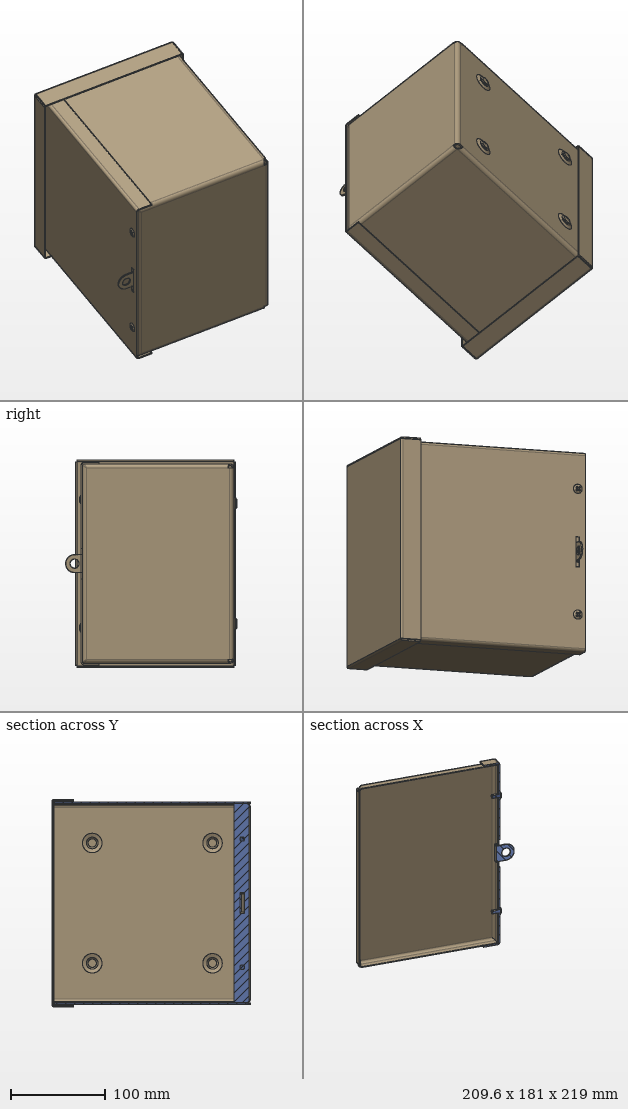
import cadquery as cq
import math


sheet = 1.5
cap_bend = 2.2
cover_bend = 3.0
box_bend = 4.4

overrun = 2.2

length = 209.6
cap_height = 219.0
total_depth = 181.0
cap_depth = 169.0
cap_corner_gap = 0.5
cap_flange = 22.5
cap_back = sheet
cap_front = cap_back - cap_depth

cover_front = -161.2
cover_flange = 18.6
cap_side_gap = 1.0
cover_height = cap_height - 2 * (sheet + cap_side_gap)

box_height = cover_height - 2 * sheet
box_front = cover_front + sheet
lip_back = box_front + sheet
lip_width = 17.5
relief_long = 8.3
relief_short = 6.1

dimple_height = 3.3
dimple_top_radius = 4.4
dimple_waist_radius = 6.1
dimple_waist_height = 1.5
dimple_base_radius = 10.3
dimple_pitch = 127.0
dimple_first_x = 42.5

screw_x = 200.9
screw_pitch = 135.4
head_diameter = 9.9
head_height = 2.0
shank_diameter = 4.2
shank_length = 8.8
recess_span = 5.7
recess_width = 1.3
recess_depth = 1.3

hasp_left = 199.0
hasp_diameter = 19.0
hasp_hole = 9.5
hasp_tip = dimple_height - total_depth
hasp_foot = 5.7
hasp_bend = 2.2
slot_width = 4.0
cover_slot_height = 32.2
lip_slot_height = 21.5


def block(x0, x1, y0, y1, height):
    """Block between two X and two Y positions, centred on Z = 0."""
    return cq.Workplane("XY").box(x1 - x0, y1 - y0, height).translate(((x0 + x1) / 2, (y0 + y1) / 2, 0))


def screw_points():
    """Screw centres as (x, z), below and above the hasp."""
    return [(screw_x, -screw_pitch / 2), (screw_x, screw_pitch / 2)]


def front_cylinders(points, diameter, y0, y1):
    """Cylinders along Y at (x, z) points."""
    return (
        cq.Workplane("XZ", origin=(0, y1, 0))
        .pushPoints(points)
        .circle(diameter / 2)
        .extrude(y1 - y0)
    )


def channel(outer, inner, bend, edges):
    """Bent sheet: an outer block with two rounded bends, hollowed by an inner block."""
    return outer.edges(edges).fillet(bend).cut(inner.edges(edges).fillet(bend - sheet))


def make_cap():
    """End cap of two crossing channels, which leaves the flange corners open."""
    reach = cap_flange + overrun
    upright = channel(
        block(0, cap_flange, cap_front, cap_back, cap_height - 2 * (sheet + cap_corner_gap)),
        block(sheet, reach, cap_front + sheet, cap_back - sheet, cap_height),
        cap_bend,
        "|Z and <X",
    )
    crosswise = channel(
        block(0, cap_flange, cap_front + sheet, cap_back - sheet, cap_height),
        block(sheet, reach, cap_front, cap_back, cap_height - 2 * sheet),
        cap_bend,
        "|Y and <X",
    )
    return upright.union(crosswise)


def make_cover():
    """Front cover with a flange along its top and bottom."""
    flange_end = cover_front + cover_flange
    cover = channel(
        block(cap_bend, length, cover_front, flange_end, cover_height),
        block(0, length + overrun, box_front, flange_end + overrun, box_height),
        cover_bend,
        "|X and <Y",
    )
    slot_right = hasp_left + slot_width
    slot = block(hasp_left, slot_right, cover_front - overrun, box_front + overrun, cover_slot_height)
    screw_holes = front_cylinders(screw_points(), shank_diameter, cover_front - overrun, box_front + overrun)
    return cover.cut(slot).cut(screw_holes)


def rounded_box(x0, x1, y0, y1, height, bend):
    """Block with its back, far end and lip bends rounded."""
    body = block(x0, x1, y0, y1, height)
    return body.edges("(|Z and >X) or (|X and >Y) or (|Y and >X)").fillet(bend)


def dimple_form(offset):
    """Dimple shape turned about the Y axis and moved along it by offset."""
    return (
        cq.Workplane("XY")
        .moveTo(0, -sheet)
        .lineTo(0, dimple_height)
        .lineTo(dimple_top_radius, dimple_height)
        .lineTo(dimple_waist_radius, dimple_waist_height)
        .lineTo(dimple_base_radius, 0)
        .lineTo(dimple_base_radius, -sheet)
        .close()
        .revolve(360, (0, 0, 0), (0, 1, 0))
        .translate((0, offset, 0))
    )


def corner_relief(side):
    """Column that opens the far back corner of the top (side 1) or bottom (side -1) wall."""
    outline = [
        (length, 0),
        (length - relief_long, 0),
        (length - box_bend, -box_bend),
        (length, -relief_short),
    ]
    start = side * (box_height / 2 - box_bend)
    return cq.Workplane("XY", origin=(0, 0, start)).polyline(outline).close().extrude(side * box_bend)


def make_box():
    """Box open at the cap end and the front, with a lip behind the cover at the far end."""
    inner_height = box_height - 2 * sheet
    box = rounded_box(cap_bend, length, box_front, 0, box_height, box_bend)
    box = box.edges("|X and <Y").fillet(cover_bend - sheet)
    hollow = rounded_box(0, length - sheet, lip_back, -sheet, inner_height, box_bend - sheet)
    window = block(0, length - lip_width, box_front - overrun, lip_back + overrun, inner_height)
    box = box.cut(hollow).cut(window)

    for side in (-1, 1):
        box = box.cut(corner_relief(side))

    for x in (dimple_first_x, dimple_first_x + dimple_pitch):
        for z in (-dimple_pitch / 2, dimple_pitch / 2):
            box = box.union(dimple_form(0).translate((x, 0, z)))
            box = box.cut(dimple_form(-sheet).translate((x, 0, z)))

    slot_right = hasp_left + slot_width
    slot = block(hasp_left, slot_right, box_front - overrun, lip_back + overrun, lip_slot_height)
    screw_holes = front_cylinders(screw_points(), shank_diameter, box_front - overrun, lip_back + overrun)
    return box.cut(slot).cut(screw_holes)


def make_screw(x, z):
    """Domed screw with a diagonal cross recess."""
    head_radius = head_diameter / 2
    dome_radius = (head_radius**2 + head_height**2) / (2 * head_height)
    mid_radius = head_radius / 2
    mid_height = math.sqrt(dome_radius**2 - mid_radius**2) - (dome_radius - head_height)
    screw = (
        cq.Workplane("XY")
        .moveTo(0, -head_height)
        .threePointArc((mid_radius, -mid_height), (head_radius, 0))
        .lineTo(shank_diameter / 2, 0)
        .lineTo(shank_diameter / 2, shank_length)
        .lineTo(0, shank_length)
        .close()
        .revolve(360, (0, 0, 0), (0, 1, 0))
    )
    for angle in (45, 135):
        arm = cq.Workplane("XY").box(recess_span, 2 * recess_depth, recess_width)
        arm = arm.translate((0, -head_height, 0)).rotate((0, 0, 0), (0, 1, 0), angle)
        screw = screw.cut(arm)
    return screw.translate((x, cover_front, z))


def make_hasp():
    """Padlock eye that passes through both slots, with a foot behind the lip."""
    eye_center = hasp_tip + hasp_diameter / 2
    foot_back = lip_back + sheet
    hasp_right = hasp_left + sheet
    shank = block(hasp_left, hasp_right, eye_center, foot_back, hasp_diameter)
    eye = cq.Workplane("YZ", origin=(hasp_left, eye_center, 0)).circle(hasp_diameter / 2).extrude(sheet)
    hole = cq.Workplane("YZ", origin=(hasp_left, eye_center, 0)).circle(hasp_hole / 2).extrude(sheet)
    foot = block(hasp_left, hasp_left + hasp_foot, lip_back, foot_back, hasp_diameter)
    angle = shank.union(foot)
    angle = angle.edges(cq.selectors.NearestToPointSelector((hasp_left, foot_back, 0))).fillet(hasp_bend)
    angle = angle.edges(cq.selectors.NearestToPointSelector((hasp_right, lip_back, 0)))
    return angle.fillet(hasp_bend - sheet).union(eye).cut(hole)


cap = make_cap()
cover = make_cover()
box = make_box()
hasp = make_hasp()
screws = [make_screw(x, z) for x, z in screw_points()]

result = cq.Compound.makeCompound(
    [box.val(), cover.val(), cap.val(), hasp.val(), *[screw.val() for screw in screws]]
)